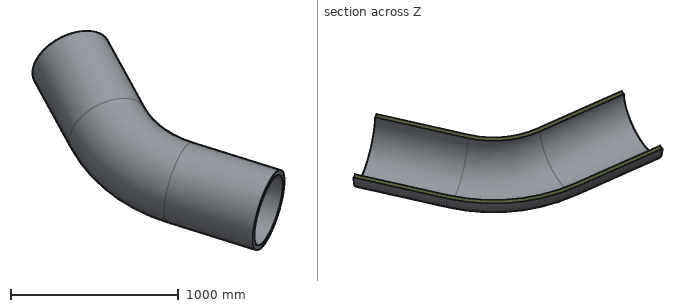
import cadquery as cq
import math

outer_diameter = 500.0
bore_diameter = 440.0
bend_angle = 45
bend_radius = 788.0
leg_length = 574.0

angle = math.radians(bend_angle)


def bend_point(turned):
    """Point on the bend centreline after turning by the given angle in radians."""
    return (
        leg_length + bend_radius * math.sin(turned),
        bend_radius * (1 - math.cos(turned)),
    )


bend_end = bend_point(angle)
outlet_end = (
    bend_end[0] + leg_length * math.cos(angle),
    bend_end[1] + leg_length * math.sin(angle),
)
centreline = (
    cq.Workplane("XY")
    .lineTo(leg_length, 0)
    .threePointArc(bend_point(angle / 2), bend_end)
    .lineTo(*outlet_end)
)

result = (
    cq.Workplane("YZ")
    .circle(outer_diameter / 2)
    .circle(bore_diameter / 2)
    .sweep(centreline)
)